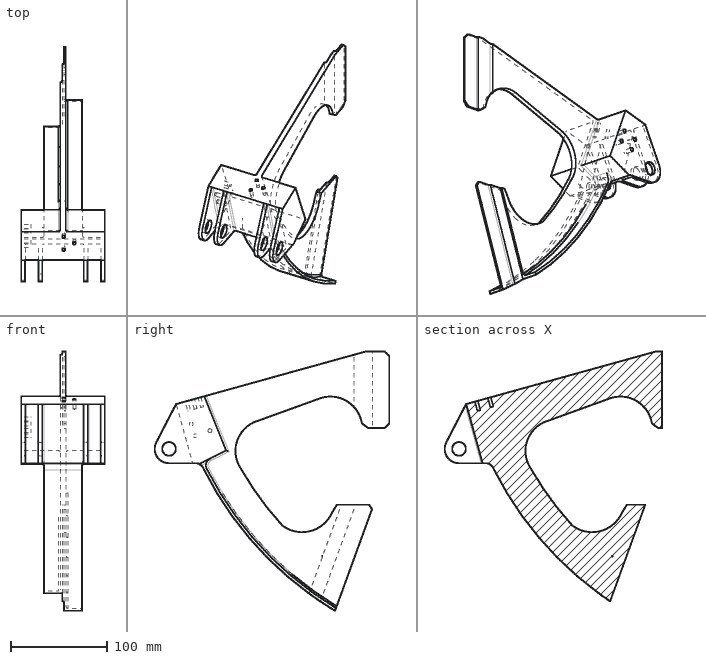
import cadquery as cq
import math


block_width = 87.0
blade_thickness = 6.0
flange_width = 40.0
ear_thickness = 4.0
ear_gap = 14.0
blade_left = -blade_thickness / 2
blade_right = blade_thickness / 2

pin_diameter = 14.0
ear_radius = 15.0

top_slope = 15.5
block_top_front = (7.3, 46.7)
block_top_back_y = 36.6
block_heel = (59.4, -1.6)
block_bottom_front = (31.2, -15.8)
ear_bottom_back = (29.5, -ear_radius)

tip_y = 229.22
tip_top_z = 101.5
tip_height = 80.0
tip_chamfer = 5.0
tip_heel_bottom_y = 207.3
tip_heel_back = (200.5, tip_top_z - tip_height + tip_chamfer)
upper_bow_end = (158.3, 52.9)
throat_top = (88.3, 27.6)
upper_bow_radius = 33.0

sweep_centre = (358.6, 141.0)
outer_radius = 361.0
inner_radius = 326.5
overall_height = 269.98
part_bottom_z = tip_top_z - overall_height
jaw_top_z = -57.9
jaw_lean = 20.0
jaw_chamfer = 5.0
jaw_heel_y = 174.5
jaw_bow_start = (169.6, -66.0)
jaw_bow_end_z = -79.7
throat_bottom_z = -20.4
throat_radius = 32.7
jaw_bow_radius = 34.0

middle_thickness = 4.0
tip_thickness = 2.0
tip_step = 18.0
upper_middle_step = 37.0
lower_middle_step = 32.0
tip_step_fillet = 1.5
middle_step_fillet = 2.0

flange_thickness = 3.0
flange_inner_radius = outer_radius - flange_thickness
flange_root_fillet = 8.0
flange_root = (35.4, -12.8)
flange_root_middle = (39.3, -14.3)
block_bottom_middle = (51.1, -5.5)
flange_top_z = -21.6
flange_heel_radius = 10.0

joint_fillet = 2.0
slot_fillet = 1.5

side_hole_diameter = 4.0
side_hole_centre = (32.6, 22.7)
side_hole_pitch = (16.0, 13.0)
side_hole_tilt = 19.5
top_hole_diameter = 3.0
top_hole_line_x = 0.7
top_hole_offset_x = 11.0
top_hole_pitch = 14.0
top_hole_middle_y = 24.75
hole_depth = 10.0

step_height = 140.0
reach = 300.0


def on_top_edge(y):
    """Point of the sloping top edge at the given Y."""
    rise = (y - block_top_front[0]) * math.tan(math.radians(top_slope))
    return (y, block_top_front[1] + rise)


def on_sweep(radius, z):
    """Point of a lower-jaw arc at the given Z."""
    return (sweep_centre[0] - math.sqrt(radius**2 - (z - sweep_centre[1])**2), z)


def sweep_middle(radius, start_z, end_z):
    """Point about half way along a lower-jaw arc."""
    return on_sweep(radius, (start_z + end_z) / 2)


def extrude_x(profile, x_from, x_to):
    """Extrude a closed YZ profile between two X positions."""
    return profile.extrude(x_to - x_from).translate((x_from, 0, 0))


jaw_bottom = on_sweep(outer_radius, part_bottom_z)
lean = math.radians(jaw_lean)
jaw_corner = (jaw_bottom[0] + (jaw_top_z - part_bottom_z) * math.tan(lean), jaw_top_z)
block_top_back = on_top_edge(block_top_back_y)


def clamp_outline():
    """Closed outline of both jaws, ending inside the mounting block."""
    tip_bottom_z = tip_top_z - tip_height
    slope_run = (tip_top_z - block_top_front[1]) / math.tan(math.radians(top_slope))
    slope_top_y = block_top_front[0] + slope_run
    jaw_edge = (jaw_corner[0] - jaw_chamfer * math.sin(lean), jaw_top_z - jaw_chamfer * math.cos(lean))
    return (
        cq.Workplane("YZ")
        .moveTo(*block_top_back)
        .lineTo(slope_top_y, tip_top_z)
        .lineTo(tip_y - tip_chamfer, tip_top_z)
        .lineTo(tip_y, tip_top_z - tip_chamfer)
        .lineTo(tip_y, tip_bottom_z + tip_chamfer)
        .lineTo(tip_y - tip_chamfer, tip_bottom_z)
        .lineTo(tip_heel_bottom_y, tip_bottom_z)
        .lineTo(*tip_heel_back)
        .radiusArc(upper_bow_end, -upper_bow_radius)
        .lineTo(*throat_top)
        .radiusArc(on_sweep(inner_radius, throat_bottom_z), -throat_radius)
        .threePointArc(
            sweep_middle(inner_radius, throat_bottom_z, jaw_bow_end_z),
            on_sweep(inner_radius, jaw_bow_end_z),
        )
        .radiusArc(jaw_bow_start, -jaw_bow_radius)
        .lineTo(jaw_heel_y, jaw_top_z)
        .lineTo(jaw_corner[0] - jaw_chamfer, jaw_top_z)
        .lineTo(*jaw_edge)
        .lineTo(*jaw_bottom)
        .threePointArc(
            sweep_middle(outer_radius, part_bottom_z, flange_top_z),
            on_sweep(outer_radius, flange_top_z),
        )
        .radiusArc(block_bottom_front, -flange_heel_radius)
        .close()
    )


def make_blade():
    """Flat plate carrying both jaws."""
    return extrude_x(clamp_outline(), blade_left, blade_right)


def make_flange():
    """Strip along the outer edge of the lower jaw, with spare width for its flared joint to the block."""
    half_width = flange_width / 2 + joint_fillet
    strip = extrude_x(clamp_outline(), -half_width, half_width)
    inside = cq.Workplane("YZ").center(*sweep_centre).circle(flange_inner_radius)
    return strip.cut(extrude_x(inside, -half_width, half_width))


def make_block():
    """Block with its front drawn out to the rounded pivot ears."""
    front_distance = math.hypot(*block_top_front)
    front_angle = math.atan2(block_top_front[1], block_top_front[0])
    tangent_angle = front_angle + math.acos(ear_radius / front_distance)
    tangent_point = (ear_radius * math.cos(tangent_angle), ear_radius * math.sin(tangent_angle))
    profile = (
        cq.Workplane("YZ")
        .moveTo(*block_top_back)
        .lineTo(*block_top_front)
        .lineTo(*tangent_point)
        .radiusArc((0, -ear_radius), -ear_radius)
        .lineTo(*ear_bottom_back)
        .lineTo(*block_bottom_front)
        .lineTo(*block_heel)
        .close()
    )
    return extrude_x(profile, -block_width / 2, block_width / 2)


def slot_cutter(centre_x, width):
    """Slot between two ears, with its floor square to the sloping top edge."""
    return (
        cq.Workplane("XY")
        .box(width, reach, reach)
        .edges(">Y and |Z")
        .fillet(slot_fillet)
        .translate((centre_x, -reach / 2, 0))
        .rotate((0, 0, 0), (1, 0, 0), top_slope)
        .translate((0, *block_top_front))
    )


def cut_slots(body):
    """Cut the three slots that leave four ears, then bore them for the pivot pin."""
    ear_pitch = ear_thickness + ear_gap
    side_slot_x = block_width / 2 - ear_thickness - ear_gap / 2
    middle_width = block_width - 2 * (ear_pitch + ear_thickness)
    for centre_x, width in ((-side_slot_x, ear_gap), (0, middle_width), (side_slot_x, ear_gap)):
        body = body.cut(slot_cutter(centre_x, width))
    pin_hole = cq.Workplane("YZ").circle(pin_diameter / 2)
    return body.cut(extrude_x(pin_hole, -block_width / 2, block_width / 2))


def nearest_edge(body, point):
    """Edge whose centre is closest to the point."""
    return body.edges(cq.selectors.NearestToPointSelector(point)).val()


def trim_flange(body):
    """Bring the flange to width, leaving its sides flared where they meet the block underside."""
    underside_rise = block_heel[1] - block_bottom_front[1]
    underside_run = block_heel[0] - block_bottom_front[0]
    underside_slope = math.degrees(math.atan2(underside_rise, underside_run))
    trimmer = (
        cq.Workplane("XY")
        .box(block_width, reach, reach)
        .edges("<X and >Z")
        .fillet(joint_fillet)
        .translate((flange_width / 2 + block_width / 2, 0, -reach / 2))
        .rotate((0, 0, 0), (1, 0, 0), underside_slope)
        .translate((0, *block_heel))
    )
    return body.cut(trimmer).cut(trimmer.mirror("YZ"))


def round_flange_root(body):
    """Fillet the inner side of the flange into the block underside."""
    for x in (-flange_width / 4, flange_width / 4):
        root_edge = nearest_edge(body, (x, *flange_root))
        body = body.newObject([root_edge]).fillet(flange_root_fillet)
    return body


def round_blade_joints(body):
    """Fillet both faces of the blade into the block and the flange."""
    back_middle = ((block_heel[0] + block_top_back[0]) / 2, (block_heel[1] + block_top_back[1]) / 2)
    flange_middle = sweep_middle(flange_inner_radius, part_bottom_z, flange_top_z)
    for side in (-1, 1):
        blade_x = side * blade_thickness / 2
        points = [
            (blade_x, *back_middle),
            (blade_x, *block_bottom_middle),
            (blade_x, *flange_root_middle),
            (blade_x, *flange_middle),
        ]
        body = body.newObject([nearest_edge(body, point) for point in points]).fillet(joint_fillet)
    return body


def step_cutter(distance, thickness, fillet=0.0):
    """Cutter thinning the blade's left side within a distance of a tip edge lying on the Z axis."""
    cutter = cq.Workplane("XY").box(block_width, block_width, step_height)
    if fillet > 0:
        cutter = cutter.edges(">X and <Y").fillet(fillet)
    return cutter.translate((blade_right - thickness - block_width / 2, block_width / 2 - distance, 0))


def thin_tips(body):
    """Thin both jaw tips in two steps; the lower cutters also end the left half of the flange."""
    upper_place = (0, tip_y, tip_top_z - tip_height / 2)
    lower_place = (0, (jaw_bottom[0] + jaw_corner[0]) / 2, (jaw_bottom[1] + jaw_corner[1]) / 2)
    upper_steps = (
        step_cutter(upper_middle_step, middle_thickness, middle_step_fillet),
        step_cutter(tip_step, tip_thickness, tip_step_fillet),
    )
    lower_steps = (
        step_cutter(lower_middle_step, middle_thickness),
        step_cutter(tip_step, tip_thickness, tip_step_fillet),
    )
    for cutter in upper_steps:
        body = body.cut(cutter.translate(upper_place))
    for cutter in lower_steps:
        body = body.cut(cutter.rotate((0, 0, 0), (1, 0, 0), -jaw_lean).translate(lower_place))
    return body


def drill_side_holes(body):
    """Tilted 2 x 2 pattern of blind holes in the left face of the block."""
    holes = (
        cq.Workplane("YZ")
        .rarray(*side_hole_pitch, 2, 2)
        .circle(side_hole_diameter / 2)
        .extrude(hole_depth)
        .rotate((0, 0, 0), (1, 0, 0), side_hole_tilt)
        .translate((-block_width / 2, *side_hole_centre))
    )
    return body.cut(holes)


def drill_top_holes(body):
    """Triangle of blind holes drilled square to the sloping top face."""
    holes = (
        cq.Workplane("XY")
        .pushPoints([(0, top_hole_pitch / 2), (0, -top_hole_pitch / 2), (top_hole_offset_x, 0)])
        .circle(top_hole_diameter / 2)
        .extrude(-hole_depth)
        .rotate((0, 0, 0), (1, 0, 0), top_slope)
        .translate((top_hole_line_x, *on_top_edge(top_hole_middle_y)))
    )
    return body.cut(holes)


result = make_blade().union(make_flange()).union(make_block())
result = trim_flange(round_flange_root(cut_slots(result)))
result = round_blade_joints(result)
result = drill_top_holes(drill_side_holes(thin_tips(result)))